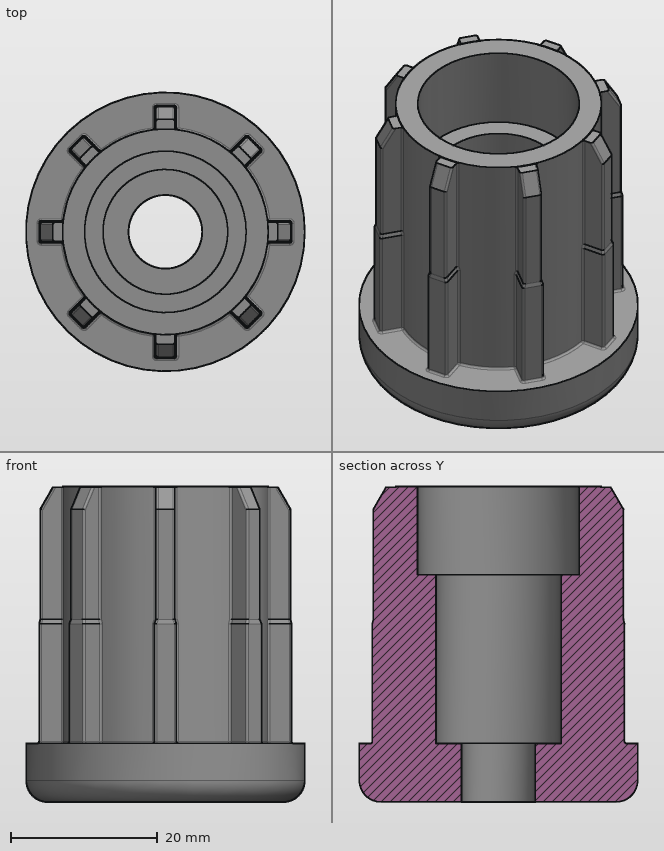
import cadquery as cq
import math

flange_radius = 19.0
flange_height = 8.0
flange_bottom_round = 3.0

body_radius = 14.0
total_height = 43.0
bore_radius = 11.0
bore_depth = 12.0
inner_bore_radius = 8.5
inner_bore_floor = flange_height
through_hole_radius = 5.0

rib_count = 8
rib_top_setback = 0.1
rib_top = total_height - rib_top_setback
upper_rib_radius = 17.05
upper_rib_width = 2.6
rib_front_step = 0.15
rib_side_step = 0.2
lower_rib_radius = upper_rib_radius + rib_front_step
lower_rib_width = upper_rib_width + 2 * rib_side_step
rib_step_top = 24.9
rib_step_height = 0.6
rib_lead_in_height = 3.0
rib_lead_in_angle = 30.0
rib_lead_in_depth = rib_lead_in_height * math.tan(math.radians(rib_lead_in_angle))

rib_edge_round = 0.3
root_round = rib_edge_round
base_round = rib_edge_round

edge_tolerance = 0.05

rib_inner_radius = (bore_radius + body_radius) / 2


def cylinder(radius, bottom, top):
    return cq.Workplane("XY").workplane(offset=bottom).circle(radius).extrude(top - bottom)


def make_flange():
    flange = cylinder(flange_radius, 0, flange_height)
    return flange.faces("<Z").edges().fillet(flange_bottom_round)


def rib_section(outer_radius, width):
    """Rib cross-section along +X with its two outer corners rounded."""
    length = outer_radius - rib_inner_radius
    section = cq.Sketch().rect(length, width).vertices(">X").fillet(rib_edge_round)
    return section.moved(cq.Location(cq.Vector(rib_inner_radius + length / 2, 0, 0)))


def make_upper_rib():
    """Slim rib whose outer top corner slopes inward as a lead-in."""
    lead_in_inner_radius = upper_rib_radius - rib_lead_in_depth
    rib = (
        cq.Workplane("XZ")
        .moveTo(rib_inner_radius, flange_height)
        .lineTo(upper_rib_radius, flange_height)
        .lineTo(upper_rib_radius, rib_top - rib_lead_in_height)
        .lineTo(lead_in_inner_radius, rib_top)
        .lineTo(rib_inner_radius, rib_top)
        .close()
        .extrude(upper_rib_width / 2, both=True)
    )
    front_region = cq.selectors.BoxSelector(
        (lead_in_inner_radius + rib_edge_round, -upper_rib_width, flange_height),
        (lower_rib_radius, upper_rib_width, rib_top),
    )
    return rib.edges(front_region).edges("not |Y").fillet(rib_edge_round)


def make_lower_rib():
    """Wider rib that tapers into the slim one at its top."""
    lower_section = rib_section(lower_rib_radius, lower_rib_width)
    upper_section = rib_section(upper_rib_radius, upper_rib_width)
    raised_upper_section = upper_section.moved(cq.Location(cq.Vector(0, 0, rib_step_height)))
    straight_height = rib_step_top - rib_step_height - flange_height
    rib = (
        cq.Workplane("XY", origin=(0, 0, flange_height))
        .placeSketch(lower_section)
        .extrude(straight_height)
    )
    taper = (
        cq.Workplane("XY", origin=(0, 0, flange_height + straight_height))
        .placeSketch(lower_section, raised_upper_section)
        .loft(ruled=True)
    )
    return rib.union(taper)


def is_rib_root(edge):
    """True for the upward-running edges where a rib side meets the tube."""
    center = edge.Center()
    on_tube = abs(math.hypot(center.x, center.y) - body_radius) < edge_tolerance
    runs_upward = edge.BoundingBox().zlen > edge_tolerance
    return on_tube and runs_upward and center.z < rib_top


def make_ribbed_tube():
    tube = cylinder(body_radius, flange_height, total_height)
    rib = make_upper_rib().union(make_lower_rib())
    for index in range(rib_count):
        tube = tube.union(rib.rotate((0, 0, 0), (0, 0, 1), index * 360 / rib_count))
    return tube.edges().filter(is_rib_root).fillet(root_round)


def is_base_edge(edge):
    """True for the edges where the ribbed tube stands on the flange."""
    bounds = edge.BoundingBox()
    is_level = bounds.zlen < edge_tolerance
    lies_on_flange = is_level and abs(bounds.zmin - flange_height) < edge_tolerance
    is_flange_rim = bounds.xlen > lower_rib_radius
    return lies_on_flange and not is_flange_rim


def make_outer_shape():
    shape = make_flange().union(make_ribbed_tube())
    return shape.edges().filter(is_base_edge).fillet(base_round)


def make_stepped_bore():
    bore = cylinder(bore_radius, total_height - bore_depth, total_height)
    inner_bore = cylinder(inner_bore_radius, inner_bore_floor, total_height)
    through_hole = cylinder(through_hole_radius, 0, total_height)
    return bore.union(inner_bore).union(through_hole)


result = make_outer_shape().cut(make_stepped_bore())